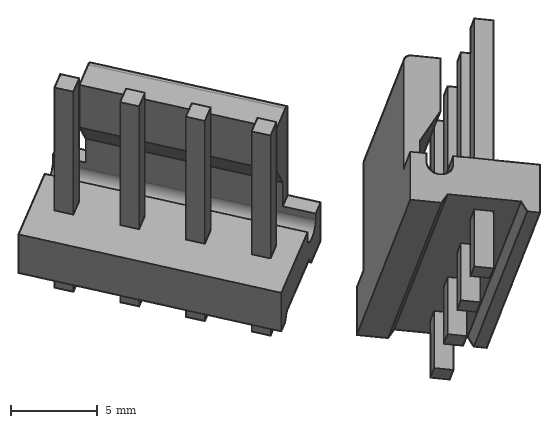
import cadquery as cq

pin_count = 4
pitch = 3.96
pin_size = 1.14
pin_length = 16.51
pin_center_y = 3.02

base_length = pin_count * pitch
base_depth = 7.63
base_bottom = 3.19
base_height = 3.19
base_top = base_bottom + base_height

recess_depth = 0.61
recess_front = 0.76
recess_back = base_depth - 1.83
recess_slope = 0.36

wall_length = (pin_count - 1) * pitch
wall_thickness = 0.95
head_thickness = 2.18
ramp_bottom = 8.34
ramp_top = 10.47
wall_top = 13.97
wall_edge_radius = 0.46

groove_width = 1.57
groove_depth = 1.3

wall_front = base_depth - wall_thickness
head_front = base_depth - head_thickness
groove_front = wall_front - groove_width


def extrude_profile(profile, length):
    """Extrude a closed YZ profile along X, centred on x = 0."""
    return profile.close().extrude(length / 2, both=True)


def make_base():
    groove_radius = groove_width / 2
    groove_bottom = base_top - groove_depth
    arc_start = groove_bottom + groove_radius
    recess_top = base_bottom + recess_depth
    profile = (
        cq.Workplane("YZ")
        .moveTo(0, base_bottom)
        .lineTo(recess_front, base_bottom)
        .lineTo(recess_front + recess_slope, recess_top)
        .lineTo(recess_back - recess_slope, recess_top)
        .lineTo(recess_back, base_bottom)
        .lineTo(base_depth, base_bottom)
        .lineTo(base_depth, base_top)
        .lineTo(wall_front, base_top)
        .lineTo(wall_front, arc_start)
        .threePointArc((wall_front - groove_radius, groove_bottom), (groove_front, arc_start))
        .lineTo(groove_front, base_top)
        .lineTo(0, base_top)
    )
    return extrude_profile(profile, base_length)


def make_wall():
    profile = (
        cq.Workplane("YZ")
        .moveTo(base_depth, base_top)
        .lineTo(wall_front, base_top)
        .lineTo(wall_front, ramp_bottom)
        .lineTo(head_front, ramp_top)
        .lineTo(head_front, wall_top)
        .lineTo(base_depth, wall_top)
    )
    wall = extrude_profile(profile, wall_length)
    return wall.edges(">Y and >Z").fillet(wall_edge_radius)


def make_pins():
    first_x = -(pin_count - 1) * pitch / 2
    centers = [(first_x + i * pitch, pin_center_y) for i in range(pin_count)]
    return cq.Workplane("XY").pushPoints(centers).rect(pin_size, pin_size).extrude(pin_length)


result = make_base().union(make_wall()).union(make_pins())